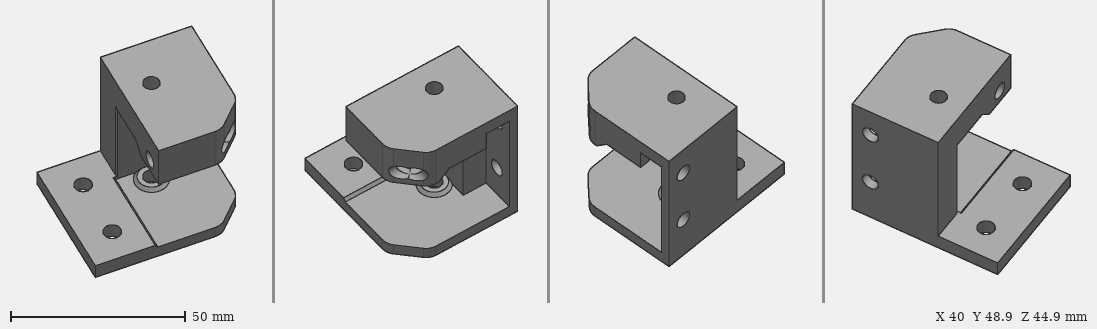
import cadquery as cq

length_x = 40.0
length_y = 48.9
height = 44.85

plate_thickness = 5.0
block_front = 20.0
wall_thickness = 11.1
arm_underside = 34.05
pad_underside = 30.5
pad_slope_start = 24.3
pad_slope_end = 28.1

corner_chamfer = 9.0
corner_radius = 5.0

relief_depth = 1.1
relief_run = 0.85
relief_front = block_front - 1.1
relief_floor = plate_thickness - relief_depth

wall_edge_x = 0.65
wall_edge_y = 0.4
wall_edge_sag = 0.075

mount_diameter = 5.3
mount_spacing = 20.0
plate_hole_x = 10.0
plate_hole_y = 10.0
side_hole_y = 42.8
upper_hole_z = 35.05
arm_hole_x = 34.0
side_clearance = 5.25
side_web = 3.0
screw_diameter = 5.0
screw_x = 15.25
screw_y = 29.15

boss_base_diameter = 10.4
boss_top_diameter = boss_base_diameter - 2 * relief_depth


def cylinder(diameter, depth, start, direction):
    return cq.Workplane(
        cq.Solid.makeCylinder(diameter / 2, depth, cq.Vector(*start), cq.Vector(*direction))
    )


def make_body():
    """Base plate and C-shaped block with the bevelled rear corner."""
    plate = cq.Workplane("XY").box(length_x, length_y, plate_thickness, centered=False)
    block = (
        cq.Workplane("XZ", origin=(0, length_y, 0))
        .polyline([
            (0, 0),
            (length_x, 0),
            (length_x, plate_thickness),
            (wall_thickness, plate_thickness),
            (wall_thickness, arm_underside),
            (pad_slope_start, arm_underside),
            (pad_slope_end, pad_underside),
            (length_x, pad_underside),
            (length_x, height),
            (0, height),
        ])
        .close()
        .extrude(length_y - block_front)
    )
    return plate.union(block)


def make_envelope():
    """Outer prism with the bevelled rear corner and its rounded ends."""
    bevel_start = length_x - corner_chamfer
    bevel_end = length_y - corner_chamfer
    return (
        cq.Workplane("XY")
        .polyline([
            (0, 0),
            (length_x, 0),
            (length_x, bevel_end),
            (bevel_start, length_y),
            (0, length_y),
        ])
        .close()
        .extrude(height)
        .edges(cq.selectors.BoxSelector(
            (bevel_start - 0.5, bevel_end - 0.5, 0),
            (length_x + 0.5, length_y + 0.5, height),
        ))
        .edges("|Z")
        .fillet(corner_radius)
    )


def make_relief():
    """Shallow pocket in the plate, open at the right and the rear."""
    return (
        cq.Workplane("YZ", origin=(wall_thickness, 0, 0))
        .moveTo(relief_front, plate_thickness)
        .lineTo(relief_front + relief_run, relief_floor)
        .lineTo(length_y, relief_floor)
        .lineTo(length_y, plate_thickness)
        .close()
        .extrude(length_x - wall_thickness)
    )


def make_wall_edge():
    """Concave sliver removed from the front inner edge of the wall."""
    front_x = wall_thickness - wall_edge_x
    middle = (
        wall_thickness - wall_edge_x / 2 - wall_edge_sag,
        block_front + wall_edge_y / 2 + wall_edge_sag,
    )
    return (
        cq.Workplane("XY", origin=(0, 0, plate_thickness))
        .moveTo(front_x, block_front)
        .threePointArc(middle, (wall_thickness, block_front + wall_edge_y))
        .lineTo(wall_thickness, block_front)
        .close()
        .extrude(arm_underside - plate_thickness)
    )


def make_side_clearance():
    """Rear-open pocket that leaves a thin web of wall around the side holes."""
    front = side_hole_y - side_clearance
    top = upper_hole_z + side_clearance
    return (
        cq.Workplane("XY", origin=(side_web, front, relief_floor))
        .box(wall_thickness - side_web, length_y - front, top - relief_floor, centered=False)
    )


def make_boss():
    """Conical boss standing on the relief floor."""
    cone = cq.Solid.makeCone(
        boss_base_diameter / 2,
        boss_top_diameter / 2,
        relief_depth,
        cq.Vector(screw_x, screw_y, relief_floor),
    )
    return cq.Workplane(cone)


body = make_body().intersect(make_envelope())
body = body.cut(make_relief()).cut(make_wall_edge()).cut(make_side_clearance())
body = body.union(make_boss())

for offset in (0, mount_spacing):
    body = body.cut(
        cylinder(mount_diameter, plate_thickness, (plate_hole_x + offset, plate_hole_y, 0), (0, 0, 1))
    )
    body = body.cut(
        cylinder(mount_diameter, length_x, (0, side_hole_y, upper_hole_z - offset), (1, 0, 0))
    )

body = body.cut(cylinder(mount_diameter, length_y, (arm_hole_x, 0, upper_hole_z), (0, 1, 0)))

result = body.cut(cylinder(screw_diameter, height, (screw_x, screw_y, 0), (0, 0, 1)))